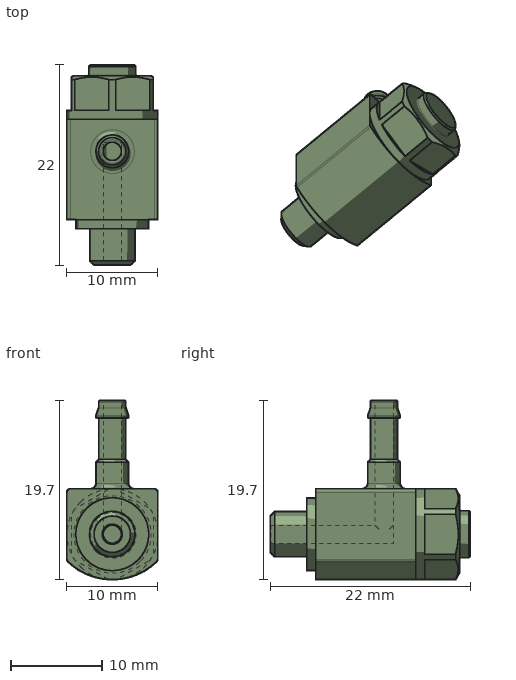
import cadquery as cq
import math


body_width = 10.0
body_length = 11.0
body_top = 5.0
body_bottom = -5.0
body_arc_radius = 7.0
body_edge_radius = 0.4

washer_diameter = 8.0
washer_thickness = 1.0
spigot_diameter = 5.0
spigot_length = 4.0
spigot_chamfer = 0.5

flange_diameter = 10.0
flange_thickness = 1.0
hex_across_flats = 9.0
hex_length = 3.8
hex_chamfer_angle = 30.0
hex_end_diameter = 8.5
boss_diameter = 5.2
boss_length = 1.2
boss_tip_chamfer = 0.2
boss_root_radius = 0.1

barb_y = 7.5
barb_top = 14.7
tube_radius = 1.5
tube_tip_radius = 0.2
collar_radius = 1.8
collar_top = 7.9
collar_foot_radius = 0.6
ridge_radius = 1.8
ridge_cone_top = 13.9
ridge_cone_bottom = 13.0
ridge_edge_radius = 0.2
ridge_bottom = 12.78
ridge_underside_drop = 0.07

bore_diameter = 2.0
bore_mouth_chamfer = 0.1

washer_front = -washer_thickness
spigot_front = washer_front - spigot_length
flange_end = body_length + flange_thickness
hex_end = flange_end + hex_length


def cylinder_y(diameter, start, length):
    """Cylinder on the shaft axis, running toward +Y from the given station."""
    plane = cq.Plane(origin=(0, start, 0), xDir=(1, 0, 0), normal=(0, 1, 0))
    return cq.Workplane(plane).circle(diameter / 2).extrude(length)


def make_body():
    """Block with a flat top and sides and an arched underside."""
    half_width = body_width / 2
    arc_centre_z = body_bottom + body_arc_radius
    arc_end_z = arc_centre_z - math.sqrt(body_arc_radius**2 - half_width**2)
    return (
        cq.Workplane("XZ")
        .moveTo(-half_width, body_top)
        .lineTo(half_width, body_top)
        .lineTo(half_width, arc_end_z)
        .threePointArc((0, body_bottom), (-half_width, arc_end_z))
        .close()
        .extrude(-body_length)
        .edges("|Y")
        .fillet(body_edge_radius)
    )


def make_front_spigot():
    """Washer and chamfered spigot in front of the body."""
    washer = cylinder_y(washer_diameter, washer_front, washer_thickness)
    spigot = cylinder_y(spigot_diameter, spigot_front, spigot_length)
    return washer.union(spigot.faces("<Y").chamfer(spigot_chamfer))


def make_hex_head():
    """Hexagon with corners on +Z and -Z, turned down to the flange diameter and coned at its end."""
    side_count = 6
    step = 360 / side_count
    corner_radius = hex_across_flats / 2 / math.cos(math.radians(step / 2))
    corners = []
    for index in range(side_count):
        angle = math.radians(90 + step * index)
        corners.append((corner_radius * math.cos(angle), corner_radius * math.sin(angle)))
    hexagon = (
        cq.Workplane("XZ", origin=(0, flange_end, 0))
        .polyline(corners)
        .close()
        .extrude(-hex_length)
    )

    outer_radius = flange_diameter / 2
    end_radius = hex_end_diameter / 2
    cone_length = (outer_radius - end_radius) * math.tan(math.radians(hex_chamfer_angle))
    envelope = (
        cq.Workplane("XY")
        .moveTo(0, flange_end)
        .lineTo(outer_radius, flange_end)
        .lineTo(outer_radius, hex_end - cone_length)
        .lineTo(end_radius, hex_end)
        .lineTo(0, hex_end)
        .close()
        .revolve(360, (0, 0), (0, 1))
    )
    return hexagon.intersect(envelope)


def make_end_boss():
    """Round boss behind the hexagon, with a chamfered tip and a small fillet at its root."""
    boss = cylinder_y(boss_diameter, hex_end, boss_length).faces(">Y").chamfer(boss_tip_chamfer)
    radius = boss_diameter / 2
    diagonal = boss_root_radius * (1 - math.sqrt(0.5))
    root = (
        cq.Workplane("XY")
        .moveTo(0, hex_end)
        .lineTo(radius + boss_root_radius, hex_end)
        .threePointArc(
            (radius + diagonal, hex_end + diagonal),
            (radius, hex_end + boss_root_radius),
        )
        .lineTo(0, hex_end + boss_root_radius)
        .close()
        .revolve(360, (0, 0), (0, 1))
    )
    return boss.union(root)


def make_barb():
    """Hose barb revolved about its own vertical axis, reaching down to the shaft axis."""
    foot_radius = collar_radius + collar_foot_radius
    foot_arc = collar_foot_radius * (1 - math.sqrt(0.5))
    tip_arc = tube_tip_radius * (1 - math.sqrt(0.5))
    shoulder_top = collar_top + collar_radius - tube_radius
    profile = (
        cq.Workplane("XZ", origin=(0, barb_y, 0))
        .moveTo(0, 0)
        .lineTo(foot_radius, 0)
        .lineTo(foot_radius, body_top)
        .threePointArc(
            (collar_radius + foot_arc, body_top + foot_arc),
            (collar_radius, body_top + collar_foot_radius),
        )
        .lineTo(collar_radius, collar_top)
        .lineTo(tube_radius, shoulder_top)
        .lineTo(tube_radius, ridge_bottom - ridge_underside_drop)
        .lineTo(ridge_radius, ridge_bottom)
        .lineTo(ridge_radius, ridge_cone_bottom)
        .lineTo(tube_radius, ridge_cone_top)
        .lineTo(tube_radius, barb_top - tube_tip_radius)
        .threePointArc(
            (tube_radius - tip_arc, barb_top - tip_arc),
            (tube_radius - tube_tip_radius, barb_top),
        )
        .lineTo(0, barb_top)
        .close()
    )
    barb = profile.revolve(360, (0, 0), (0, 1))
    ridge_edge = cq.selectors.NearestToPointSelector((0, barb_y, ridge_cone_bottom))
    return barb.edges(ridge_edge).fillet(ridge_edge_radius)


def make_passage():
    """Blind bore from the spigot tip that turns up into the bore of the hose barb."""
    bore_radius = bore_diameter / 2
    bore_length = barb_y + bore_radius - spigot_front
    shaft_bore = cylinder_y(bore_diameter, spigot_front, bore_length)
    mouth = (
        cq.Workplane("XY")
        .moveTo(0, spigot_front)
        .lineTo(bore_radius + bore_mouth_chamfer, spigot_front)
        .lineTo(bore_radius, spigot_front + bore_mouth_chamfer)
        .lineTo(0, spigot_front + bore_mouth_chamfer)
        .close()
        .revolve(360, (0, 0), (0, 1))
    )
    barb_bore = cq.Workplane("XY").center(0, barb_y).circle(bore_radius).extrude(barb_top)
    return shaft_bore.union(mouth).union(barb_bore)


result = (
    make_body()
    .union(make_front_spigot())
    .union(cylinder_y(flange_diameter, body_length, flange_thickness))
    .union(make_hex_head())
    .union(make_end_boss())
    .union(make_barb())
    .cut(make_passage())
)